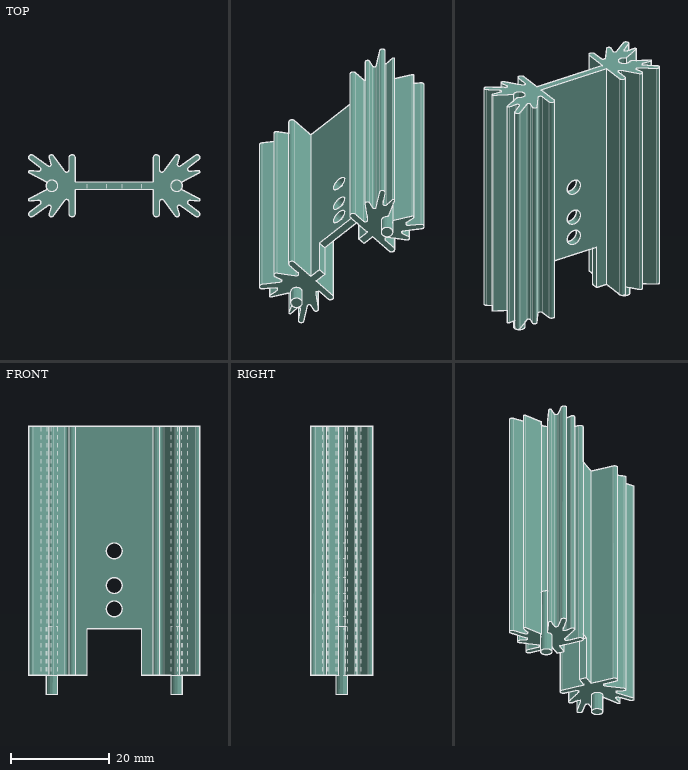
import cadquery as cq
import math

TOTAL_HEIGHT = 54.75
WIDTH = 34.95
DEPTH = 12.7
PIN_PROJECTION = 3.9
SINK_HEIGHT = TOTAL_HEIGHT - PIN_PROJECTION

PIN_DIAMETER = 2.35
PIN_SPACING = 25.45
PIN_INSERTION = 10.0

WEB_THICKNESS = 1.6
WEB_LENGTH = 15.9
HOLE_DIAMETER = 3.2
HOLE_HEIGHTS = (13.6, 18.35, 25.4)
NOTCH_WIDTH = 11.05
NOTCH_HEIGHT = 9.55

STRAIGHT_TIP_RADIUS = 0.65
INNER_TIP_RADIUS = 0.5
DIAGONAL_TIP_RADIUS = 0.575
OUTER_TIP_RADIUS = 0.3
WIDE_VALLEY_RADIUS = 0.465
INNER_VALLEY_RADIUS = 0.355
OUTER_VALLEY_RADIUS = 0.41

HALF_WIDTH = WIDTH / 2
HALF_DEPTH = DEPTH / 2
PIN_X = PIN_SPACING / 2


def quarter_rounds():
    """Rounds (x, y, radius) of the section in the +X, +Y quarter, from web to bore.

    Fin tips have a positive radius, valley bottoms a negative one and sharp corners zero.
    """
    fin_inside = WEB_LENGTH / 2
    fin_outside = fin_inside + 2 * STRAIGHT_TIP_RADIUS
    return [
        (fin_inside, WEB_THICKNESS / 2, 0),
        (fin_inside + STRAIGHT_TIP_RADIUS, HALF_DEPTH - STRAIGHT_TIP_RADIUS, STRAIGHT_TIP_RADIUS),
        (fin_outside + WIDE_VALLEY_RADIUS, 3.26, -WIDE_VALLEY_RADIUS),
        (12.8, HALF_DEPTH - INNER_TIP_RADIUS, INNER_TIP_RADIUS),
        (13.25, 4.3, -INNER_VALLEY_RADIUS),
        (HALF_WIDTH - DIAGONAL_TIP_RADIUS, HALF_DEPTH - DIAGONAL_TIP_RADIUS, DIAGONAL_TIP_RADIUS),
        (15.4, 3.4, -OUTER_VALLEY_RADIUS),
        (HALF_WIDTH - OUTER_TIP_RADIUS, 2.85, OUTER_TIP_RADIUS),
        (13.4, 0.55, 0),
    ]


def mirrored(rounds, x_sign, y_sign):
    """Reflect rounds into another quarter, keeping one direction of travel round the section."""
    reflected = [(x_sign * x, y_sign * y, radius) for x, y, radius in rounds]
    return reflected if x_sign == y_sign else reflected[::-1]


def tangent_normal_angle(first, second):
    """Direction from both centres to the line that touches them, on the left of travel.

    A negative radius puts the touching point on the right instead.
    """
    x1, y1, r1 = first
    x2, y2, r2 = second
    travel = math.atan2(y2 - y1, x2 - x1)
    spread = math.asin((r2 - r1) / math.hypot(x2 - x1, y2 - y1))
    return travel + math.pi / 2 + spread


def point_on_round(center, angle):
    """Point of a round in the given direction, opposite for a negative radius."""
    x, y, radius = center
    return (x + radius * math.cos(angle), y + radius * math.sin(angle))


def rounded_outline(rounds):
    """Closed outline that follows each round in turn, with tangent lines between them."""
    count = len(rounds)
    line_angles = [tangent_normal_angle(rounds[i], rounds[(i + 1) % count]) for i in range(count)]
    outline = cq.Workplane("XY").moveTo(*point_on_round(rounds[-1], line_angles[-1]))
    for index, center in enumerate(rounds):
        arrival = line_angles[index - 1]
        departure = line_angles[index]
        outline = outline.lineTo(*point_on_round(center, arrival))
        if center[2] != 0:
            turn = math.remainder(departure - arrival, 2 * math.pi)
            if turn * center[2] > 0:
                turn -= math.copysign(2 * math.pi, turn)
            middle = point_on_round(center, arrival + turn / 2)
            outline = outline.threePointArc(middle, point_on_round(center, departure))
    return outline.close()


def make_heat_sink():
    """Extruded finned section with two pin bores, three screw holes and a bottom notch."""
    quarter = quarter_rounds()
    section = []
    for x_sign, y_sign in ((1, 1), (1, -1), (-1, -1), (-1, 1)):
        section += mirrored(quarter, x_sign, y_sign)
    sink = rounded_outline(section).extrude(SINK_HEIGHT)

    bores = (
        cq.Workplane("XY")
        .pushPoints([(-PIN_X, 0), (PIN_X, 0)])
        .circle(PIN_DIAMETER / 2)
        .extrude(SINK_HEIGHT)
    )
    holes = (
        cq.Workplane("XZ")
        .pushPoints([(0, height) for height in HOLE_HEIGHTS])
        .circle(HOLE_DIAMETER / 2)
        .extrude(DEPTH / 2, both=True)
    )
    notch = cq.Workplane("XY").rect(NOTCH_WIDTH, DEPTH).extrude(NOTCH_HEIGHT)
    return sink.cut(bores).cut(holes).cut(notch)


def make_pin(x):
    """Round pin, part inside the bore and part projecting below the heat sink."""
    return (
        cq.Workplane("XY", origin=(x, 0, -PIN_PROJECTION))
        .circle(PIN_DIAMETER / 2)
        .extrude(PIN_PROJECTION + PIN_INSERTION)
    )


heat_sink = make_heat_sink()
pins = [make_pin(x) for x in (-PIN_X, PIN_X)]

result = cq.Compound.makeCompound([heat_sink.val(), *[pin.val() for pin in pins]])